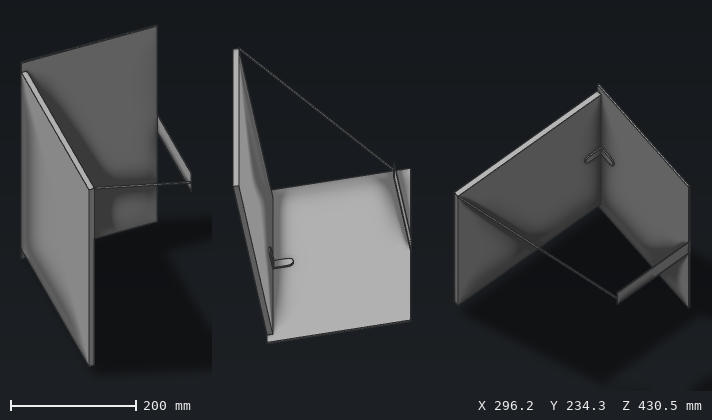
import cadquery as cq

height = 430.5
depth = 234.3

side_thickness = 3.0

front_right = 295.0
front_thickness = 9.5
front_height = 389.3

strap_length = 148.5
strap_height = 40.0
strap_thickness = 1.0
strap_inner_y = depth - strap_thickness

rod_diameter = 2.75

bracket_leg = 34.0
bracket_width = 20.0
bracket_thickness = 2.5


def box_between(low, high):
    """Axis-aligned box given by two opposite corners."""
    size = [b - a for a, b in zip(low, high)]
    return cq.Workplane("XY").box(*size, centered=False).translate(low)


def side_panel():
    return box_between(
        (0, 0, -height / 2),
        (side_thickness, strap_inner_y, height / 2),
    )


def front_panel():
    return box_between(
        (side_thickness, 0, -front_height / 2),
        (front_right, front_thickness, front_height / 2),
    )


def rear_strap():
    return box_between(
        (0, strap_inner_y, -strap_height / 2),
        (strap_length, depth, strap_height / 2),
    )


def brace_rod():
    start = cq.Vector(front_right, front_thickness, front_height / 2)
    end = cq.Vector(strap_length, strap_inner_y, 0)
    axis = end - start
    rod = cq.Solid.makeCylinder(rod_diameter / 2, axis.Length, start, axis)
    return cq.Workplane(obj=rod)


def bracket_leg_plate(plane):
    """One bracket leg from the inside corner along the plane's local X, with a full-round tip."""
    tip_radius = bracket_width / 2
    straight = bracket_leg - tip_radius
    return (
        cq.Workplane(plane)
        .moveTo(0, -tip_radius)
        .lineTo(straight, -tip_radius)
        .threePointArc((bracket_leg, 0), (straight, tip_radius))
        .lineTo(0, tip_radius)
        .close()
        .extrude(bracket_thickness)
    )


def angle_bracket():
    corner = (side_thickness, front_thickness, 0)
    on_front = cq.Plane(origin=corner, xDir=(1, 0, 0), normal=(0, 1, 0))
    on_side = cq.Plane(origin=corner, xDir=(0, 1, 0), normal=(1, 0, 0))
    return bracket_leg_plate(on_front).union(bracket_leg_plate(on_side))


result = (
    side_panel()
    .union(front_panel())
    .union(rear_strap())
    .union(brace_rod())
    .union(angle_bracket())
)